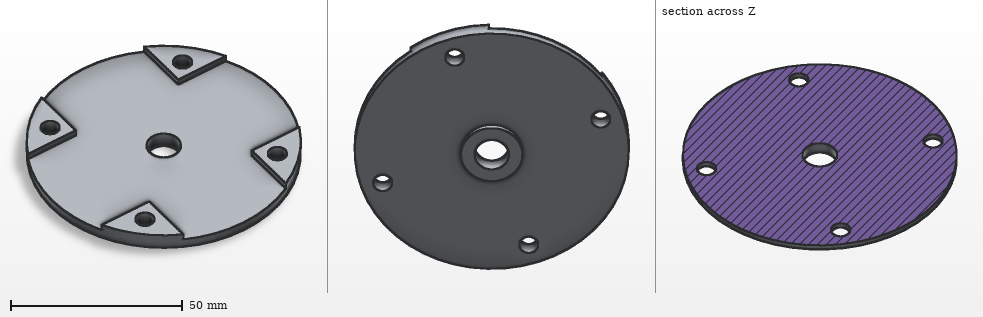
import cadquery as cq

plate_diameter = 80.0
plate_thickness = 3.0

pad_height = 2.0
pad_inner_edge = 18.4
pad_hole_offset = 23.8
pad_hole_diameter = 5.5

boss_diameter = 18.0
boss_height = 2.0
bore_diameter = 10.0

plate_radius = plate_diameter / 2
pad_top = plate_thickness + pad_height
total_height = boss_height + pad_top


def make_plate():
    """Disc with its underside at Z = 0."""
    return cq.Workplane("XY").circle(plate_radius).extrude(plate_thickness)


def make_pads():
    """Four pads left on a full disc after a cross of two channels is removed."""
    channel_width = 2 * pad_inner_edge
    pads = cq.Workplane("XY").circle(plate_radius).extrude(pad_top)
    for length_x, length_y in ((plate_diameter, channel_width), (channel_width, plate_diameter)):
        channel = cq.Workplane("XY").rect(length_x, length_y).extrude(pad_top)
        pads = pads.cut(channel)
    return pads


def make_boss():
    """Round boss hanging below the plate."""
    return cq.Workplane("XY").circle(boss_diameter / 2).extrude(-boss_height)


def make_through_holes():
    """Cutters for the central bore and the hole in each pad."""
    base = cq.Workplane("XY").workplane(offset=-boss_height)
    bore = base.circle(bore_diameter / 2).extrude(total_height)
    hole_spacing = 2 * pad_hole_offset
    pad_holes = (
        base.rect(hole_spacing, hole_spacing, forConstruction=True)
        .vertices()
        .circle(pad_hole_diameter / 2)
        .extrude(total_height)
    )
    return bore.union(pad_holes)


result = make_plate().union(make_pads()).union(make_boss()).cut(make_through_holes())